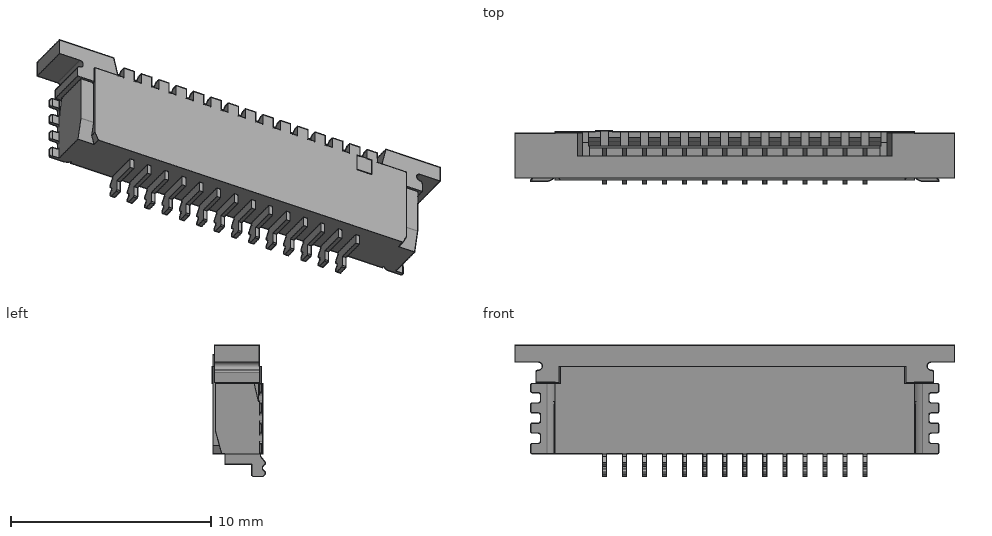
import cadquery as cq


slider_width = 21.93
slider_depth = 2.24
slider_top = 5.42
slider_bar_bottom = 4.575
neck_width = 19.21
ear_width = 19.85
ear_top = 4.18
ear_bottom = 3.57
ear_fillet = 0.12

opening_width = 15.68
opening_floor_width = 15.18
opening_front = 1.11

housing_width = 17.95
housing_front = -0.10
housing_back = 2.32
shoulder = 3.52
housing_top = 4.37
front_step_left = -8.70
front_step_right = 8.47
front_step_lip = 0.08
corner_cut_height = 0.41
corner_cut_width = 0.2

end_width = 19.4
end_front = 0.0
end_back = 2.18
end_front_top = 0.26
end_front_taper_start = 2.4
end_back_bottom = 1.88
end_back_taper_start = 1.1

contact_count = 14
pitch = 1.0
contact_width = 0.21
first_contact_x = -(contact_count - 1) / 2 * pitch
contact_x = [first_contact_x + i * pitch for i in range(contact_count)]

tail_front = -0.30
tail_root_front = -0.06
tail_root_back = 1.72
tail_root_overlap = 0.1
tail_shoulder_bottom = -0.525
tail_bottom = -1.13
foot_back = 0.39
foot_back_chamfer = 0.06
foot_front_chamfer = 0.12
notch_depth = 0.14
notch_bottom = -0.90
notch_top = -0.50
tail_ramp_bottom = -0.42
tail_ramp_top = -0.12

slot_width = 14.5
slot_front = 1.50
slot_back = 1.60
slot_depth = 2.5
slit_depth = 0.4
corner_pocket_back = 1.78
corner_pocket_depth = 0.3
tooth_width = 0.6
tooth_top = 4.95
tooth_crest_front = 2.02
tooth_bend_y = 1.82
tooth_bend_z = 4.78
tooth_shoulder = 4.57
tooth_x = [first_contact_x + (i - 0.5) * pitch for i in range(contact_count + 1)]

clip_width = 20.37
clip_flat_width = 18.74
clip_front = -0.17
clip_bend_back = 0.05
clip_bend_bulge = 0.05
clip_tip_chamfer = 0.1
clip_gap_count = 3
clip_gap_pitch = 1.01
clip_gap_height = 0.5
clip_first_gap = 0.53
clip_fillet = 0.1

mark_x = -6.53
mark_width = 0.84
mark_height = 0.87
mark_back = 2.36


def box(x_min, x_max, y_min, y_max, z_min, z_max):
    size = (x_max - x_min, y_max - y_min, z_max - z_min)
    return cq.Workplane("XY").box(*size, centered=False).translate((x_min, y_min, z_min))


def centered_box(width, y_min, y_max, z_min, z_max):
    return box(-width / 2, width / 2, y_min, y_max, z_min, z_max)


def extrude_yz(points, x_center, width):
    """Extrude a (Y, Z) outline along X, centred on x_center."""
    outline = cq.Workplane("YZ", origin=(x_center, 0, 0)).polyline(points).close()
    return outline.extrude(width / 2, both=True)


def extrude_xz(points, y_min, y_max):
    """Extrude an (X, Z) outline along Y."""
    outline = cq.Workplane("XZ", origin=(0, y_max, 0)).polyline(points).close()
    return outline.extrude(y_max - y_min)


def both_ends(left):
    return left.union(left.mirror("YZ"))


def make_slider():
    """Full-width bar with a narrower neck and a pair of ears below it."""
    notch_radius = (slider_bar_bottom - ear_top) / 2
    notch_center_x = neck_width / 2 + notch_radius
    notch_center_z = ear_top + notch_radius
    bar = centered_box(slider_width, 0, slider_depth, slider_bar_bottom, slider_top)
    neck = centered_box(2 * notch_center_x, 0, slider_depth, ear_top, slider_bar_bottom)
    ears = centered_box(ear_width, 0, slider_depth, ear_bottom, ear_top).edges("|Y and >Z").fillet(ear_fillet)
    notches = (
        cq.Workplane("XZ", origin=(0, slider_depth, 0))
        .pushPoints([(-notch_center_x, notch_center_z), (notch_center_x, notch_center_z)])
        .circle(notch_radius)
        .extrude(slider_depth)
    )
    return bar.union(ears).union(neck.cut(notches))


def make_opening():
    """Cutter for the cable opening, with side walls that lean inward towards its floor."""
    outline = [
        (-opening_width / 2, slider_top),
        (opening_width / 2, slider_top),
        (opening_floor_width / 2, housing_top),
        (-opening_floor_width / 2, housing_top),
    ]
    return extrude_xz(outline, opening_front, slider_depth)


def make_housing():
    """Insulating body with a step up into the slider and tapered blocks at both ends."""
    lower = centered_box(housing_width, housing_front, housing_back, 0, shoulder)
    back = centered_box(housing_width, slider_depth / 2, housing_back, shoulder, housing_top)
    step = (
        cq.Workplane("XY", origin=(0, 0, shoulder))
        .polyline([
            (front_step_left, housing_front),
            (front_step_right, housing_front),
            (front_step_right + front_step_lip, 0),
            (front_step_right + front_step_lip, slider_depth),
            (front_step_left - front_step_lip, slider_depth),
            (front_step_left - front_step_lip, 0),
        ])
        .close()
        .extrude(housing_top - shoulder)
    )
    corner = extrude_xz(
        [
            (-housing_width / 2, 0),
            (-housing_width / 2 + corner_cut_width, 0),
            (-housing_width / 2, corner_cut_height),
        ],
        end_back_bottom,
        housing_back,
    )
    ends = extrude_yz(
        [
            (end_front, 0),
            (end_front, end_front_taper_start),
            (end_front_top, shoulder),
            (end_back, shoulder),
            (end_back, end_back_taper_start),
            (end_back_bottom, 0),
        ],
        0,
        end_width,
    )
    return lower.union(back).union(step).cut(both_ends(corner)).union(ends)


def make_clip():
    """Left solder clip: a flat sheet with fingers, bent back towards the housing."""
    tip = -clip_width / 2
    flat_end = -clip_flat_width / 2
    bend_end = -housing_width / 2
    bend_middle = ((flat_end + bend_end) / 2, (clip_front + clip_bend_back) / 2 - clip_bend_bulge)
    sheet = (
        cq.Workplane("XY")
        .moveTo(tip, clip_front)
        .lineTo(flat_end, clip_front)
        .threePointArc(bend_middle, (bend_end, clip_bend_back))
        .lineTo(-end_width / 2, clip_bend_back)
        .lineTo(-end_width / 2, end_front)
        .lineTo(tip + clip_tip_chamfer, end_front)
        .lineTo(tip, end_front - clip_tip_chamfer)
        .close()
        .extrude(shoulder)
    )
    for i in range(clip_gap_count):
        gap_bottom = clip_first_gap + i * clip_gap_pitch
        gap_top = gap_bottom + clip_gap_height
        gap = box(tip, -end_width / 2, clip_front, clip_bend_back, gap_bottom, gap_top)
        sheet = sheet.cut(gap.edges("|Y and >X").fillet(clip_fillet))
    return sheet.edges(cq.selectors.BoxSelector(
        (tip - clip_fillet, clip_front - clip_fillet, -clip_fillet),
        (tip + clip_fillet, end_front, shoulder + clip_fillet),
    )).edges("|Y").fillet(clip_fillet)


def make_contact(x):
    """Solder tail of the contact centred on x."""
    tail = [
        (tail_root_back, tail_root_overlap),
        (tail_root_back, tail_shoulder_bottom),
        (foot_back, tail_shoulder_bottom),
        (foot_back, tail_bottom + foot_back_chamfer),
        (foot_back - foot_back_chamfer, tail_bottom),
        (tail_front + foot_front_chamfer, tail_bottom),
        (tail_front, tail_bottom + foot_front_chamfer),
        (tail_front, notch_bottom),
        (tail_front + notch_depth, notch_bottom + notch_depth),
        (tail_front + notch_depth, notch_top - notch_depth),
        (tail_front, notch_top),
        (tail_front, tail_ramp_bottom),
        (tail_root_front, tail_ramp_top),
        (tail_root_front, tail_root_overlap),
    ]
    return extrude_yz(tail, x, contact_width)


def make_tooth(x):
    """Guide tooth with a sloped front, centred on x."""
    outline = [
        (slot_back, housing_top - slot_depth),
        (slot_back, tooth_shoulder),
        (tooth_bend_y, tooth_bend_z),
        (tooth_crest_front, tooth_top),
        (housing_back, tooth_top),
        (housing_back, housing_top - slot_depth),
    ]
    return extrude_yz(outline, x, tooth_width)


def make_slots():
    """Cutter for the cable slot, the contact slits and the pockets at its ends."""
    slot_floor = housing_top - slot_depth
    slots = centered_box(slot_width, slot_front, slot_back, slot_floor, housing_top)
    slit = [
        (opening_front, housing_top),
        (slot_front, housing_top),
        (opening_front, housing_top - slit_depth),
    ]
    for x in contact_x:
        slots = slots.union(extrude_yz(slit, x, contact_width))
    corner = box(
        -opening_floor_width / 2,
        -slot_width / 2,
        opening_front,
        corner_pocket_back,
        housing_top - corner_pocket_depth,
        housing_top,
    )
    return slots.union(both_ends(corner))


mark = box(
    mark_x - mark_width / 2,
    mark_x + mark_width / 2,
    slider_depth,
    mark_back,
    housing_top - mark_height,
    housing_top,
)

result = make_slider().cut(make_opening()).union(make_housing()).cut(make_slots())
result = result.union(both_ends(make_clip())).union(mark)
for x in tooth_x:
    result = result.union(make_tooth(x))
for x in contact_x:
    result = result.union(make_contact(x))